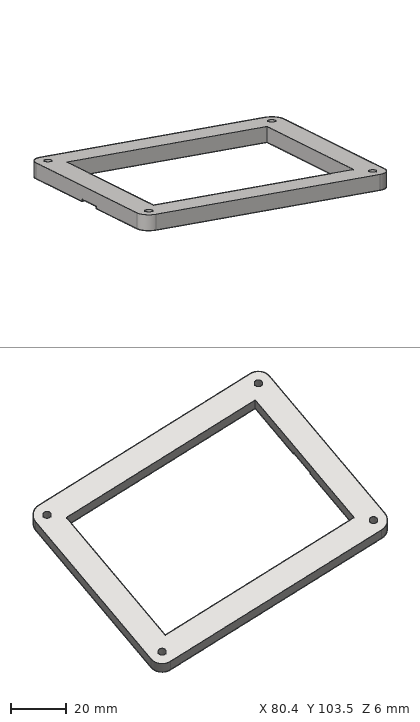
import cadquery as cq

frame_length_x = 80.36
frame_length_y = 103.47
frame_thickness = 6.0
rail_width = 10.0
corner_radius = 5.0

screw_hole_diameter = 2.9
screw_spacing_x = frame_length_x - 2 * corner_radius
screw_spacing_y = frame_length_y - 2 * corner_radius

notch_width = 10.0
notch_depth = 0.8
notch_center_x = 1.8


def make_frame():
    """Plate with rounded corners and a sharp-cornered rectangular window."""
    plate = (
        cq.Workplane("XY")
        .rect(frame_length_x, frame_length_y)
        .extrude(frame_thickness)
        .edges("|Z")
        .fillet(corner_radius)
    )
    window = (
        cq.Workplane("XY")
        .rect(frame_length_x - 2 * rail_width, frame_length_y - 2 * rail_width)
        .extrude(frame_thickness)
    )
    return plate.cut(window)


def make_screw_holes():
    """Four through holes, one at each corner."""
    return (
        cq.Workplane("XY")
        .rect(screw_spacing_x, screw_spacing_y, forConstruction=True)
        .vertices()
        .circle(screw_hole_diameter / 2)
        .extrude(frame_thickness)
    )


def make_notch():
    """Channel across the full width of the front rail, open at the bottom."""
    rail_center_y = (rail_width - frame_length_y) / 2
    return (
        cq.Workplane("XY")
        .center(notch_center_x, rail_center_y)
        .rect(notch_width, rail_width)
        .extrude(notch_depth)
    )


result = make_frame().cut(make_screw_holes()).cut(make_notch())